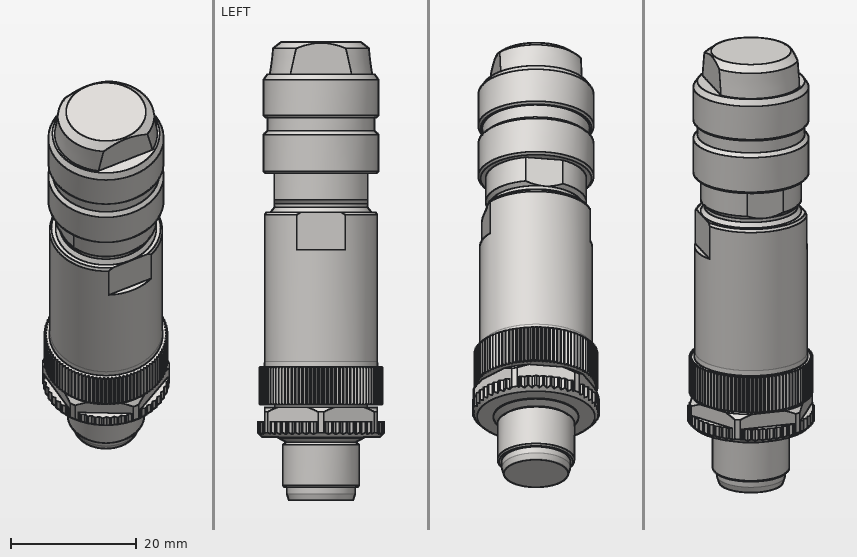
import cadquery as cq
import math

total_height = 73.0

plug_radius = 6.1
plug_nose_radius = 5.5
plug_tip_radius = 5.2
plug_face_radius = 5.1
plug_neck_radius = 5.55
plug_edge = 0.3
plug_tip_edge = 0.15
plug_tip_height = 1.1
plug_bottom = 2.1
plug_top = 9.1
plug_neck_bottom = 9.3
collar_bottom = 9.9
collar_radius = 6.8

nut_diameter = 20.2
nut_radius = nut_diameter / 2
nut_chamfer = 0.7
nut_bottom = 10.1
nut_flange_top = 12.5
nut_top = 14.8
hex_across_flats = 17.95

ring_radius = 9.85
ring_bottom = 15.25
ring_top = 21.25
ring_edge = 0.15
ring_neck_radius = 7.4

nut_tooth_count = 52
nut_groove_depth = 0.3
nut_groove_ratio = 0.8
ring_tooth_count = 96
ring_groove_depth = 0.4
ring_groove_ratio = 0.9

body_radius = 9.0
body_top = 45.9
body_chamfer_height = 0.45
body_chamfer_width = 0.3
body_foot_radius = 9.05
body_foot_height = 0.9
body_flat_bottom = 39.9
body_flat_distance = 8.1

undercut_radius = 7.45
undercut_bottom = 46.65
undercut_top = 47.2
undercut_foot_radius = 8.0
neck_radius = 8.0
neck_bottom = 47.9
neck_flat_distance = 7.45

band_radius = 9.2
band_groove_radius = 8.55
band_edge = 0.4
lower_band_bottom = 52.05
lower_band_top = 58.25
groove_bottom = 58.85
groove_top = 60.95
upper_band_top = 66.95
shoulder_height = 67.9

cap_bottom_radius = 8.2
cap_shoulder_radius = 7.7
cap_shoulder_height = 72.0
cap_top_radius = 6.35
cap_flat_distance = 6.6


def revolve(outline):
    """Turn a list of (radius, height) points into a solid around Z."""
    closed = [(0, outline[0][1])] + outline + [(0, outline[-1][1])]
    return cq.Workplane("XZ").polyline(closed).close().revolve(360, (0, 0), (0, 1))


def ring_between(radius, bottom, top):
    """Cylinder on the Z axis from one height to another."""
    return cq.Workplane("XY").workplane(offset=bottom).circle(radius).extrude(top - bottom)


def flat_pair(distance, bottom, top, turn):
    """Blocks whose inner faces lie at +-distance from the axis; turn = 0 faces X, 90 faces Y."""
    block_size = 4 * body_radius
    center = distance + block_size / 2
    blocks = (
        cq.Workplane("XY")
        .workplane(offset=bottom)
        .pushPoints([(-center, 0), (center, 0)])
        .rect(block_size, block_size)
        .extrude(top - bottom)
    )
    return blocks.rotate((0, 0, 0), (0, 0, 1), turn)


def knurl(radius, bottom, top, tooth_count, groove_depth, groove_ratio):
    """Prism with V grooves all around, starting with one on the X axis."""
    pitch = 2 * math.pi / tooth_count
    half_groove = groove_ratio * pitch / 2
    points = []
    for tooth in range(tooth_count):
        middle = tooth * pitch
        for angle, distance in (
            (middle - half_groove, radius),
            (middle, radius - groove_depth),
            (middle + half_groove, radius),
        ):
            points.append((distance * math.cos(angle), distance * math.sin(angle)))
    return cq.Workplane("XY").workplane(offset=bottom).polyline(points).close().extrude(top - bottom)


def plug():
    return revolve([
        (plug_face_radius, 0),
        (plug_tip_radius, plug_tip_edge),
        (plug_nose_radius, plug_tip_height),
        (plug_nose_radius, plug_bottom),
        (plug_radius - plug_edge, plug_bottom),
        (plug_radius, plug_bottom + plug_edge),
        (plug_radius, plug_top - plug_edge),
        (plug_neck_radius, plug_neck_bottom),
        (collar_radius, collar_bottom),
        (collar_radius, nut_bottom),
    ])


def coupling_nut():
    envelope = revolve([
        (nut_radius - nut_chamfer, nut_bottom),
        (nut_radius, nut_bottom + nut_chamfer),
        (nut_radius, nut_top - nut_chamfer),
        (nut_radius - nut_chamfer, nut_top),
    ])
    corner_diameter = hex_across_flats / math.cos(math.pi / 6)
    hexagon = (
        cq.Workplane("XY")
        .workplane(offset=nut_bottom)
        .polygon(6, corner_diameter)
        .extrude(nut_top - nut_bottom)
    )
    flange = knurl(
        nut_radius, nut_bottom, nut_flange_top,
        nut_tooth_count, nut_groove_depth, nut_groove_ratio,
    )
    return hexagon.union(flange).intersect(envelope)


def knurled_ring():
    envelope = revolve([
        (ring_radius - ring_edge, ring_bottom),
        (ring_radius, ring_bottom + ring_edge),
        (ring_radius, ring_top - ring_edge),
        (ring_radius - ring_edge, ring_top),
    ])
    teeth = knurl(
        ring_radius, ring_bottom, ring_top,
        ring_tooth_count, ring_groove_depth, ring_groove_ratio,
    )
    return teeth.intersect(envelope)


def body():
    barrel = revolve([
        (body_foot_radius, ring_top),
        (body_radius, ring_top + body_foot_height),
        (body_radius, body_top - body_chamfer_height),
        (body_radius - body_chamfer_width, body_top),
    ])
    return barrel.cut(flat_pair(body_flat_distance, body_flat_bottom, body_top, 0))


def neck():
    turned = revolve([
        (undercut_foot_radius, body_top),
        (undercut_radius, undercut_bottom),
        (undercut_radius, undercut_top),
        (neck_radius, neck_bottom),
        (neck_radius, lower_band_bottom),
    ])
    return turned.cut(flat_pair(neck_flat_distance, undercut_top, lower_band_bottom, 90))


def clamping_nut():
    return revolve([
        (band_radius - band_edge, lower_band_bottom),
        (band_radius, lower_band_bottom + band_edge),
        (band_radius, lower_band_top),
        (band_groove_radius, groove_bottom),
        (band_groove_radius, groove_top),
        (band_radius - band_edge, groove_top),
        (band_radius, groove_top + band_edge),
        (band_radius, upper_band_top),
        (band_groove_radius, shoulder_height),
    ])


def cap():
    cone = revolve([
        (cap_bottom_radius, shoulder_height),
        (cap_shoulder_radius, cap_shoulder_height),
        (cap_top_radius, total_height),
    ])
    return cone.cut(flat_pair(cap_flat_distance, shoulder_height, total_height, 0))


result = (
    plug()
    .union(coupling_nut())
    .union(ring_between(ring_neck_radius, nut_top, ring_bottom))
    .union(knurled_ring())
    .union(body())
    .union(neck())
    .union(clamping_nut())
    .union(cap())
)